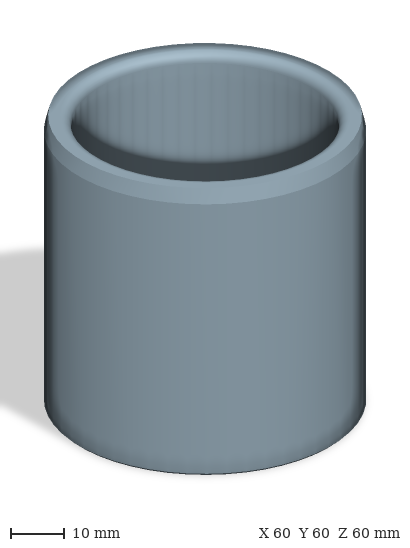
import cadquery as cq
import math

outer_diameter = 60.0
bore_diameter = 50.0
length = 60.0

lead_in_height = 3.0
lead_in_angle = 15.0
lead_in_width = lead_in_height * math.tan(math.radians(lead_in_angle))

bore_mouth_radius = 2.0
bottom_chamfer = 0.5

sleeve = (
    cq.Workplane("XY")
    .circle(outer_diameter / 2)
    .circle(bore_diameter / 2)
    .extrude(length)
)


def outer_half_profile():
    """Radial half-section of the solid envelope, with both outer edges bevelled."""
    outer_radius = outer_diameter / 2
    return (
        cq.Workplane("XZ")
        .moveTo(0, 0)
        .lineTo(outer_radius - bottom_chamfer, 0)
        .lineTo(outer_radius, bottom_chamfer)
        .lineTo(outer_radius, length - lead_in_height)
        .lineTo(outer_radius - lead_in_width, length)
        .lineTo(0, length)
        .close()
    )


sleeve = sleeve.faces(">Z").edges(cq.selectors.RadiusNthSelector(0)).fillet(bore_mouth_radius)
envelope = outer_half_profile().revolve(360, (0, 0, 0), (0, 1, 0))

result = sleeve.intersect(envelope)